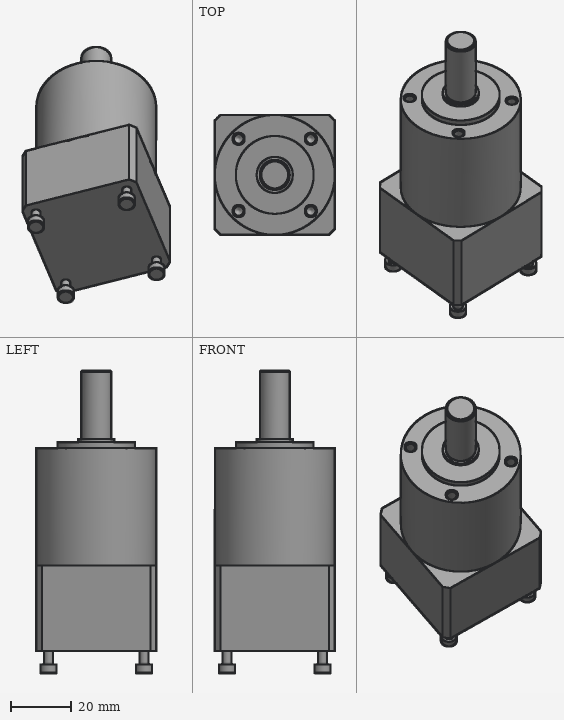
import cadquery as cq
import math

TOTAL_HEIGHT = 101.0
SHAFT_LENGTH = 22.9
COLLAR_HEIGHT = 1.0
PILOT_HEIGHT = 2.0
CYLINDER_HEIGHT = 39.0
BLOCK_HEIGHT = 28.6

BODY_WIDTH = 40.0
BLOCK_CHAMFER = 1.9
PILOT_DIAMETER = 26.0
COLLAR_DIAMETER = 12.0
SHAFT_DIAMETER = 10.0
SHAFT_CHAMFER = 0.5

MOUNT_SPACING = 24.0
MOUNT_DIAMETER = 3.2
MOUNT_MOUTH_DIAMETER = 4.0
MOUNT_DEPTH = 10.0
DRILL_TIP_ANGLE = 118.0

SCREW_SPACING = 31.8
SHANK_DIAMETER = 3.0
SHANK_LENGTH = 10.0
HEAD_DIAMETER = 5.5
HEAD_HEIGHT = 3.0
HEAD_CHAMFER = 0.3
NECK_DIAMETER = 3.2
NECK_HEIGHT = 0.5

collar_top = TOTAL_HEIGHT - SHAFT_LENGTH
pilot_top = collar_top - COLLAR_HEIGHT
cylinder_top = pilot_top - PILOT_HEIGHT
block_top = cylinder_top - CYLINDER_HEIGHT
block_bottom = block_top - BLOCK_HEIGHT
shank_tip = HEAD_HEIGHT + SHANK_LENGTH


def disc(diameter, bottom, top):
    """Cylinder on the Z axis between two heights."""
    return cq.Workplane("XY").workplane(offset=bottom).circle(diameter / 2).extrude(top - bottom)


def square_corners(spacing):
    """Corner points of a square pattern centred on the Z axis."""
    half = spacing / 2
    return [(x, y) for x in (-half, half) for y in (-half, half)]


def make_mount_hole():
    """Cutter for one blind hole: flared mouth, straight bore and conical drill tip."""
    radius = MOUNT_DIAMETER / 2
    mouth_radius = MOUNT_MOUTH_DIAMETER / 2
    mouth_depth = mouth_radius - radius
    tip_depth = radius / math.tan(math.radians(DRILL_TIP_ANGLE / 2))
    return (
        cq.Workplane("XZ")
        .moveTo(0, 0)
        .lineTo(mouth_radius, 0)
        .lineTo(radius, -mouth_depth)
        .lineTo(radius, -MOUNT_DEPTH)
        .lineTo(0, -MOUNT_DEPTH - tip_depth)
        .close()
        .revolve(360, (0, 0, 0), (0, 1, 0))
    )


def make_screw():
    """Cap screw standing on its head, with a flared neck under the head."""
    head = disc(HEAD_DIAMETER, 0, HEAD_HEIGHT).faces("<Z").chamfer(HEAD_CHAMFER)
    neck_top = HEAD_HEIGHT + NECK_HEIGHT
    shank = disc(SHANK_DIAMETER, neck_top, shank_tip)
    neck = (
        cq.Workplane("XZ")
        .moveTo(0, HEAD_HEIGHT)
        .lineTo(NECK_DIAMETER / 2, HEAD_HEIGHT)
        .lineTo(SHANK_DIAMETER / 2, neck_top)
        .lineTo(0, neck_top)
        .close()
        .revolve(360, (0, 0, 0), (0, 1, 0))
    )
    return head.union(neck).union(shank)


def make_gearbox():
    """Block, case, pilot, collar and shaft as one body, with its blind holes."""
    block = (
        cq.Workplane("XY")
        .workplane(offset=block_bottom)
        .rect(BODY_WIDTH, BODY_WIDTH)
        .extrude(BLOCK_HEIGHT)
        .edges("|Z")
        .chamfer(BLOCK_CHAMFER)
    )
    shaft = disc(SHAFT_DIAMETER, collar_top, TOTAL_HEIGHT).faces(">Z").chamfer(SHAFT_CHAMFER)
    body = (
        block
        .union(disc(BODY_WIDTH, block_top, cylinder_top))
        .union(disc(PILOT_DIAMETER, cylinder_top, pilot_top))
        .union(disc(COLLAR_DIAMETER, pilot_top, collar_top))
        .union(shaft)
    )
    for x, y in square_corners(MOUNT_SPACING):
        body = body.cut(make_mount_hole().translate((x, y, cylinder_top)))

    screw_hole = disc(SHANK_DIAMETER, block_bottom, shank_tip)
    for x, y in square_corners(SCREW_SPACING):
        body = body.cut(screw_hole.translate((x, y, 0)))
    return body


gearbox = make_gearbox()
screws = [make_screw().translate((x, y, 0)) for x, y in square_corners(SCREW_SPACING)]

result = cq.Compound.makeCompound([gearbox.val(), *[screw.val() for screw in screws]])